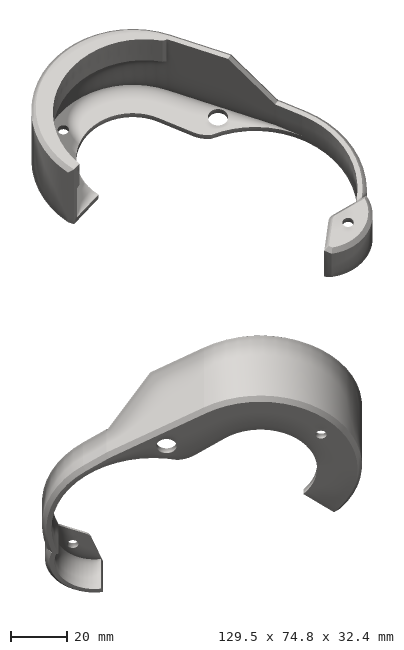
import cadquery as cq
import math

ring_height = 32.4
arm_height = 14.5
pad_height = 16.8
floor_thickness = 2.3
lip_bottom = 20.0
lip_bevel_height = 0.6

wall = 3.4
chamfer = 1.5
ring_radius = 36.0
ring_x = ring_radius
ring_opening = 20.1
ring_end_angle = 260.0
lip_radius = 32.4
lip_x = 40.5
lip_end_x = 31.9
lip_end_width = 1.0

arm_radius = 39.6
arm_x = 84.8
flat_start_x = 74.1
ramp_start_x = flat_start_x - (ring_height - arm_height)

total_length = 129.5
pad_radius = 17.5
pad_x = total_length - pad_radius
pad_nose_x = 114.2
pad_nose_radius = 3.9
pad_tip_x = 119.5
pad_tip_y = 14.0
joint_overlap_angle = 3.5

floor_bend_x = 49.6
floor_bend_radius = 11.5
floor_bend_angle = 45.0
floor_slant_run = 5.5

pin_hole_diameter = 4.0
ring_hole_x = 8.3
pad_hole_x = 121.9
large_hole_diameter = 7.3
large_hole_x = 54.5
large_hole_y = 30.0

ring_inner = ring_radius - wall
arm_inner = arm_radius - wall

flat_dx = flat_start_x - ring_x
tangent_angle = math.degrees(
    math.atan2(arm_radius, flat_dx) + math.acos(ring_radius / math.hypot(flat_dx, arm_radius))
)

centre_gap = pad_x - arm_x
joint_dx = (centre_gap**2 + arm_radius**2 - pad_radius**2) / (2 * centre_gap)
joint_angle = math.degrees(math.acos(joint_dx / arm_radius))
arm_end_angle = joint_angle - joint_overlap_angle


def on_circle(centre_x, radius, angle):
    """Point at an angle in degrees on a circle centred on the X axis."""
    turn = math.radians(angle)
    return (centre_x + radius * math.cos(turn), radius * math.sin(turn))


def disc(centre_x, radius, bottom, top):
    return cq.Workplane("XY", origin=(centre_x, 0, bottom)).circle(radius).extrude(top - bottom)


def region(inset, bottom, top):
    """Area enclosed by the ring, straight wall, flat and arm, closed along the centres."""
    ring_r = ring_radius - inset
    arm_r = arm_radius - inset
    kink_x = flat_start_x + inset * math.tan(math.radians((tangent_angle - 90) / 2))
    return (
        cq.Workplane("XY", origin=(0, 0, bottom))
        .moveTo(ring_x, 0)
        .lineTo(*on_circle(ring_x, ring_r, ring_end_angle))
        .threePointArc(
            on_circle(ring_x, ring_r, (ring_end_angle + tangent_angle) / 2),
            on_circle(ring_x, ring_r, tangent_angle),
        )
        .lineTo(kink_x, arm_r)
        .lineTo(arm_x, arm_r)
        .threePointArc(
            on_circle(arm_x, arm_r, (90 + arm_end_angle) / 2),
            on_circle(arm_x, arm_r, arm_end_angle),
        )
        .lineTo(arm_x, 0)
        .close()
        .extrude(top - bottom)
    )


def is_outer_edge(edge):
    """True for rim edges and the outer upright of the open ring end."""
    start = edge.startPoint()
    end = edge.endPoint()
    tolerance = 0.01
    if min(abs(start.y), abs(end.y)) < tolerance:
        return False
    upright = math.hypot(start.x - end.x, start.y - end.y) < tolerance
    return not upright or start.y < 0


def chamfer_rim(shell):
    """Chamfer the outer top and bottom edges and the open ring end."""
    rim = [edge for edge in shell.edges().vals() if is_outer_edge(edge)]
    return shell.newObject(rim).chamfer(chamfer)


def make_shell():
    """Outer solid with a chamfered rim, tall up to the ramp and low from the flat onwards."""
    ring_side = (
        cq.Workplane("XZ")
        .lineTo(0, ring_height)
        .lineTo(ramp_start_x, ring_height)
        .lineTo(flat_start_x, arm_height)
        .lineTo(flat_start_x, 0)
        .close()
        .extrude(total_length, both=True)
    )
    tall = chamfer_rim(region(0, 0, ring_height).intersect(ring_side))
    low = chamfer_rim(region(0, 0, arm_height)).cut(ring_side)
    return tall.union(low)


def make_cavity():
    """Space above the floor, inside the walls."""
    return region(wall, floor_thickness, ring_height)


def make_lip():
    """Thick upper part of the ring left around an eccentric round opening."""
    bevel_bottom = lip_bottom - lip_bevel_height
    lip = disc(ring_x, ring_inner + wall / 2, bevel_bottom, ring_height)
    lip = lip.cut(disc(lip_x, lip_radius, lip_bottom, ring_height))
    bevel = (
        cq.Workplane("XY", origin=(ring_x, 0, bevel_bottom))
        .circle(ring_inner)
        .workplane(offset=lip_bevel_height)
        .center(lip_x - ring_x, 0)
        .circle(lip_radius)
        .loft()
    )
    lip = lip.cut(bevel)
    end_y = math.sqrt(lip_radius**2 - (lip_x - lip_end_x) ** 2)
    kept = (
        cq.Workplane("XY")
        .moveTo(0, -ring_radius)
        .lineTo(lip_end_x, -ring_radius)
        .lineTo(lip_end_x, end_y)
        .lineTo(lip_end_x + lip_end_width, end_y + lip_end_width)
        .lineTo(lip_end_x, ring_radius)
        .lineTo(0, ring_radius)
        .close()
        .extrude(ring_height)
    )
    return lip.intersect(kept)


def make_floor_opening():
    """Opening through the floor, following the ring, the bend and the arm."""
    bend_end = (
        floor_bend_x + floor_bend_radius * math.sin(math.radians(floor_bend_angle)),
        ring_opening + floor_bend_radius * (1 - math.cos(math.radians(floor_bend_angle))),
    )
    bend_middle = (
        floor_bend_x + floor_bend_radius * math.sin(math.radians(floor_bend_angle / 2)),
        ring_opening + floor_bend_radius * (1 - math.cos(math.radians(floor_bend_angle / 2))),
    )
    slant_rise = floor_slant_run * math.tan(math.radians(floor_bend_angle))
    beside_bend = (
        cq.Workplane("XY")
        .moveTo(ring_x, 0)
        .lineTo(ring_x, ring_opening)
        .lineTo(floor_bend_x, ring_opening)
        .threePointArc(bend_middle, bend_end)
        .lineTo(bend_end[0] + floor_slant_run, bend_end[1] + slant_rise)
        .lineTo(arm_x, bend_end[1])
        .lineTo(arm_x, 0)
        .close()
        .extrude(floor_thickness)
    )
    ring_part = disc(ring_x, ring_opening, 0, floor_thickness)
    arm_part = disc(arm_x, arm_inner, 0, floor_thickness)
    return beside_bend.union(ring_part).union(arm_part)


def make_pad():
    """Leaf-shaped plate carried on a curved wall."""
    joint = on_circle(arm_x, arm_radius, joint_angle)
    tip_outer_x = pad_x + math.sqrt(pad_radius**2 - pad_tip_y**2)
    pad = (
        cq.Workplane("XY")
        .moveTo(pad_nose_x, 0)
        .lineTo(*joint)
        .threePointArc((total_length, 0), (tip_outer_x, -pad_tip_y))
        .lineTo(pad_tip_x, -pad_tip_y)
        .close()
        .extrude(pad_height)
    )
    pad = pad.edges("|Z and <X").fillet(pad_nose_radius)
    pad = pad.faces(">Z").edges().chamfer(chamfer)
    pad = pad.faces("<Z").edges(">X").chamfer(chamfer)
    return pad.cut(disc(pad_x, pad_radius - wall, 0, arm_height))


def hole(x, y, diameter, top):
    """Cylinder rising from the bottom plane."""
    return cq.Workplane("XY").center(x, y).circle(diameter / 2).extrude(top)


result = make_shell().cut(make_cavity())
result = result.union(make_lip().intersect(make_shell()))
result = result.cut(make_floor_opening())
result = result.union(make_pad())
result = result.cut(hole(ring_hole_x, 0, pin_hole_diameter, floor_thickness))
result = result.cut(hole(pad_hole_x, 0, pin_hole_diameter, pad_height))
result = result.cut(hole(large_hole_x, large_hole_y, large_hole_diameter, floor_thickness))